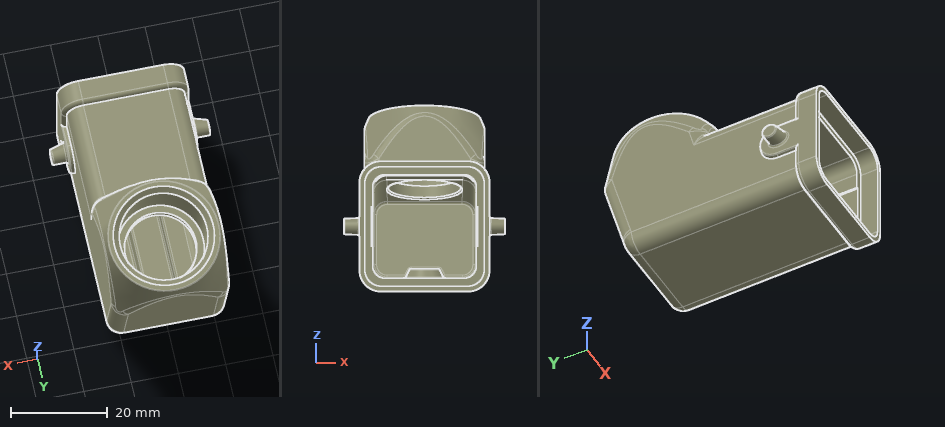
import cadquery as cq
import math


body_width = 25.0
body_corner = 3.5
collar_width = 27.0
collar_length = 5.25
flat_width = body_width - 2 * body_corner
collar_corner = (collar_width - flat_width) / 2

neck_tilt = 15.0
neck_corner = 3.0
neck_top_y = 43.03
neck_top_z = 22.08
neck_top_radius = 11.65
neck_cone_angle = 22
neck_cone_depth = 11.9
cone_edge_round = 2.2
neck_rim_round = 0.15
elbow_round = 1.0

mouth_radius = 10.5
mouth_chamfer_depth = 0.9
bore_radius_top = 9.2
bore_radius_bottom = 9.05
bore_depth = 12.2
cable_hole_radius = 7.5
cable_hole_chamfer = 0.35
ceiling_depth = 15.0

recess_width = 24.7
recess_depth = 4.0
recess_corner = (recess_width - flat_width) / 2
cavity_width = 21.5
cavity_back_width = 20.75
cavity_corner = 2.7
cavity_floor_rise = 0.35
cavity_roof_drop = 0.25
cavity_step_angle = 33.0
cavity_back_offset = 9.6
cavity_front_offset = 7.9
cavity_back_round = 0.5

pin_y = 9.54
pin_span = 33.4
pin_radius = 1.65
pin_draft = 0.15
pin_foot_spread = 0.6
pin_foot_round = 0.35
pin_tip_round = 0.25
pad_radius = 4.15
pad_taper = 15.0
pad_edge_round = 0.25
pocket_radius = 4.1
pocket_span = 22.1

rib_end_y = 14.4
rib_base_radius = 4.4
rib_top_radius = 3.0
rib_top_z = -8.7
rib_edge_round = 0.45

half_body = body_width / 2
half_cavity = cavity_width / 2
tilt = math.radians(neck_tilt)


def neck_point(forward, height):
    """(Y, Z) of a point given across and along the leaning neck axis."""
    y = neck_top_y - forward * math.cos(tilt) + height * math.sin(tilt)
    z = neck_top_z + forward * math.sin(tilt) + height * math.cos(tilt)
    return (y, z)


def neck_line_at_z(forward, z):
    """(Y, Z) where the line parallel to the neck axis reaches the level z."""
    height = (z - neck_top_z - forward * math.sin(tilt)) / math.cos(tilt)
    return neck_point(forward, height)


def extrude_profile(points, width):
    """Side profile in the YZ plane, extruded evenly about X = 0."""
    return cq.Workplane("YZ").polyline(points).close().extrude(width / 2, both=True)


def square_bar(width, corner, length):
    """Square bar with rounded long edges, running from the mouth along +Y."""
    bar = cq.Workplane("XZ").rect(width, width).extrude(-length)
    return bar.edges("|Y").fillet(corner)


def edge_near(solid, x, point):
    """Edge whose middle is nearest to the profile point (Y, Z) at x."""
    return solid.edges(cq.selectors.NearestToPointSelector((x, *point)))


def side_edges(solid, segments, x):
    """Edges that follow the given profile segments on both sides, at -x and x."""
    edges = []
    for start, end in segments:
        middle = ((start[0] + end[0]) / 2, (start[1] + end[1]) / 2)
        for side in (-x, x):
            edges.extend(edge_near(solid, side, middle).vals())
    return edges


def neck_plane():
    axis = (0, math.sin(tilt), math.cos(tilt))
    return cq.Plane(origin=(0, neck_top_y, neck_top_z), xDir=(1, 0, 0), normal=axis)


def make_elbow():
    """Solid outline of barrel and neck, before the neck end is turned down."""
    floor_front = (0, -half_body)
    floor_back = neck_line_at_z(-half_body, -half_body)
    back_top = neck_point(-half_body, 0)
    front_top = neck_point(half_body, 0)
    elbow = neck_line_at_z(half_body, half_body)
    roof_front = (0, half_body)
    profile = [floor_front, floor_back, back_top, front_top, elbow, roof_front]
    shell = extrude_profile(profile, body_width)

    barrel_edges = side_edges(shell, [(floor_front, floor_back), (elbow, roof_front)], half_body)
    shell = shell.newObject(barrel_edges).fillet(body_corner)
    neck_edges = side_edges(shell, [(floor_back, back_top), (front_top, elbow)], half_body)
    neck_edges.extend(edge_near(shell, 0, floor_back).vals())
    shell = shell.newObject(neck_edges).fillet(neck_corner)
    return edge_near(shell, 0, elbow).fillet(elbow_round)


def turn_neck_end(body):
    """Trim the top of the square neck to a cone and soften the new edges."""
    foot_radius = neck_top_radius + neck_cone_depth * math.tan(math.radians(neck_cone_angle))
    cone = cq.Workplane(neck_plane()).circle(neck_top_radius)
    cone = cone.workplane(offset=-neck_cone_depth).circle(foot_radius).loft()
    waste = cq.Workplane(neck_plane()).rect(2 * body_width, 2 * body_width)
    waste = waste.extrude(-neck_cone_depth).cut(cone)
    body = body.cut(waste)

    cone_face = max(body.faces("%CONE").vals(), key=lambda face: face.Area())
    seams = [edge for edge in cone_face.Edges() if edge.geomType() not in ("LINE", "CIRCLE")]
    body = body.newObject(seams).fillet(cone_edge_round)
    rim = edge_near(body, 0, (neck_top_y, neck_top_z))
    return rim.fillet(neck_rim_round)


def make_collar():
    collar = square_bar(collar_width, collar_corner, collar_length)
    return collar.faces(">Y").edges().fillet((collar_width - body_width) / 2)


def pad_outline(radius, end_y):
    """Outline of a round-ended pad on the +X wall, running forward to end_y."""
    plane = cq.Plane(origin=(0, pin_y, 0), xDir=(0, 1, 0), normal=(1, 0, 0))
    outline = cq.Workplane(plane).moveTo(end_y - pin_y, radius).lineTo(0, radius)
    return outline.threePointArc((radius, 0), (0, -radius)).lineTo(end_y - pin_y, -radius).close()


def make_pin():
    """Locking pin with its pad on the +X side."""
    pad_height = (collar_width - body_width) / 2
    pad = pad_outline(pad_radius, collar_length / 2).extrude(pad_height, taper=pad_taper)
    pad = pad.faces(">X").edges().fillet(pad_edge_round).translate((half_body, 0, 0))

    pin_base = half_body + pad_height / 2
    plane = cq.Plane(origin=(pin_base, pin_y, 0), xDir=(0, 1, 0), normal=(1, 0, 0))
    pin = cq.Workplane(plane).center(-pin_foot_spread, 0)
    pin = pin.ellipse(pin_radius + pin_foot_spread, pin_radius + pin_draft)
    pin = pin.workplane(offset=pin_span / 2 - pin_base).center(pin_foot_spread, 0)
    pin = pin.ellipse(pin_radius, pin_radius).loft()
    pin = pin.faces(">X").edges().fillet(pin_tip_round)
    pin = pad.union(pin)
    pad_face_x = half_body + pad_height
    foot = cq.selectors.NearestToPointSelector((pad_face_x, pin_y - pin_foot_spread, 0))
    return pin.edges(foot).fillet(pin_foot_round)


def make_cavity():
    """Hollow of the barrel with its sloping roof, ceiling and back wall."""
    front_bottom = (recess_depth, -half_cavity)
    front_top = (recess_depth, half_cavity)
    ceiling_front = neck_point(cavity_front_offset, -ceiling_depth)
    ceiling_back = neck_point(-cavity_back_offset, -ceiling_depth)
    floor_back = neck_line_at_z(-cavity_back_offset, -half_cavity + cavity_floor_rise)
    step_z = half_cavity - cavity_roof_drop
    step_length = (step_z - ceiling_front[1]) / math.tan(math.radians(cavity_step_angle))
    step_top = (ceiling_front[0] - step_length, step_z)
    profile = [front_bottom, floor_back, ceiling_back, ceiling_front, step_top, front_top]
    cavity = extrude_profile(profile, cavity_width)

    half_back = cavity_back_width / 2
    draft = [(-half_cavity, recess_depth), (half_cavity, recess_depth),
             (half_back, neck_top_y + half_body), (-half_back, neck_top_y + half_body)]
    wedge = cq.Workplane("XY").polyline(draft).close().extrude(collar_width, both=True)
    cavity = cavity.intersect(wedge)

    segments = [(front_bottom, floor_back), (ceiling_back, ceiling_front),
                (ceiling_front, step_top), (step_top, front_top)]
    cavity = cavity.newObject(side_edges(cavity, segments, half_back)).fillet(cavity_corner)
    cavity = cavity.cut(make_rib())
    foot_zone = cq.selectors.BoxSelector(
        (-rib_base_radius, recess_depth + 1, -half_cavity),
        (rib_base_radius, neck_top_y + half_body, -half_cavity + cavity_floor_rise + 0.1))
    rounded = cavity.faces(">Y").edges().vals() + cavity.edges(foot_zone).vals()
    return cavity.newObject(rounded).fillet(cavity_back_round)


def make_rib():
    """Tapered rib on the cavity floor, round at the front, joined to the back wall."""
    base_z = -(half_body + half_cavity) / 2
    height = rib_top_z - base_z
    length = neck_top_y + half_body - rib_end_y

    def level(base, radius, offset):
        outline = base.workplane(offset=offset).moveTo(length, radius).lineTo(0, radius)
        return outline.threePointArc((-radius, 0), (0, -radius)).lineTo(length, -radius).close()

    plane = cq.Plane(origin=(0, rib_end_y, base_z), xDir=(0, 1, 0), normal=(0, 0, 1))
    rib = level(level(cq.Workplane(plane), rib_base_radius, 0), rib_top_radius, height)
    rib = rib.loft(ruled=True)
    return rib.faces(">Z").edges().fillet(rib_edge_round)


def make_bore():
    """Stepped cable entry along the neck axis."""
    hole_depth = ceiling_depth + cable_hole_chamfer
    chamfer_radius = cable_hole_radius + cable_hole_chamfer
    profile = [(0, 0), (mouth_radius, 0), (bore_radius_top, -mouth_chamfer_depth),
               (bore_radius_bottom, -bore_depth), (cable_hole_radius, -bore_depth),
               (cable_hole_radius, cable_hole_chamfer - ceiling_depth), (chamfer_radius, -ceiling_depth),
               (chamfer_radius, -hole_depth), (0, -hole_depth)]
    side = cq.Plane(origin=(0, neck_top_y, neck_top_z), xDir=(1, 0, 0),
                    normal=(0, -math.cos(tilt), math.sin(tilt)))
    return cq.Workplane(side).polyline(profile).close().revolve(360, (0, 0, 0), (0, 1, 0))


def make_part():
    body = turn_neck_end(make_elbow()).union(make_collar())
    pin = make_pin()
    body = body.union(pin).union(pin.mirror("YZ"))

    pocket = pad_outline(pocket_radius, recess_depth).extrude(pocket_span / 2)
    pockets = pocket.union(pocket.mirror("YZ"))
    hollow = make_cavity().union(pockets)
    recess = square_bar(recess_width, recess_corner, recess_depth)
    return body.cut(hollow).cut(recess).cut(make_bore())


result = make_part()